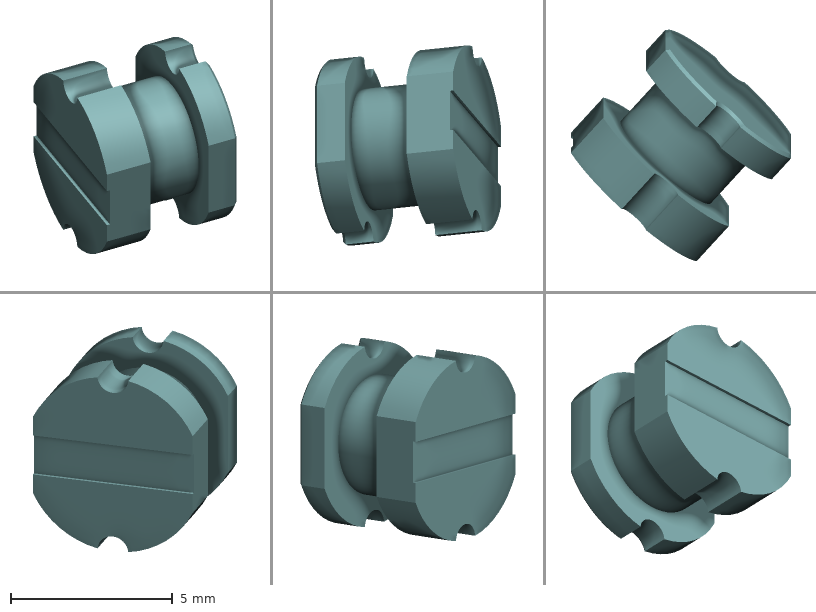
import cadquery as cq
import math

width = 5.2
length = 4.5
height = 5.71
core_radius = 1.89
front_thickness = 1.5
back_thickness = 1.0

notch_radius = 0.5
slot_height = 1.3
slot_depth = 0.1
rim_chamfer = 0.1

half_height = height / 2
flange_radius = (half_height + math.sqrt(half_height**2 + 2 * notch_radius**2)) / 2


def flange(start_y, thickness):
    """Disc with two side flats and a round notch at the top and bottom."""
    plane = cq.Workplane("XZ", origin=(0, start_y, 0))
    disc = plane.circle(flange_radius).extrude(-thickness)
    flats = plane.rect(width, 2 * flange_radius).extrude(-thickness)
    notch_centers = [(0, flange_radius), (0, -flange_radius)]
    notches = plane.pushPoints(notch_centers).circle(notch_radius).extrude(-thickness)
    return disc.intersect(flats).cut(notches)


slot = cq.Workplane("XY").box(width, slot_depth, slot_height, centered=(True, False, True))
front_flange = flange(0, front_thickness).cut(slot)

back_flange = flange(length - back_thickness, back_thickness)
back_flange = back_flange.faces(">Y").chamfer(rim_chamfer)

core_length = length - front_thickness - back_thickness
core = cq.Workplane("XZ", origin=(0, front_thickness, 0)).circle(core_radius).extrude(-core_length)

result = front_flange.union(core).union(back_flange)